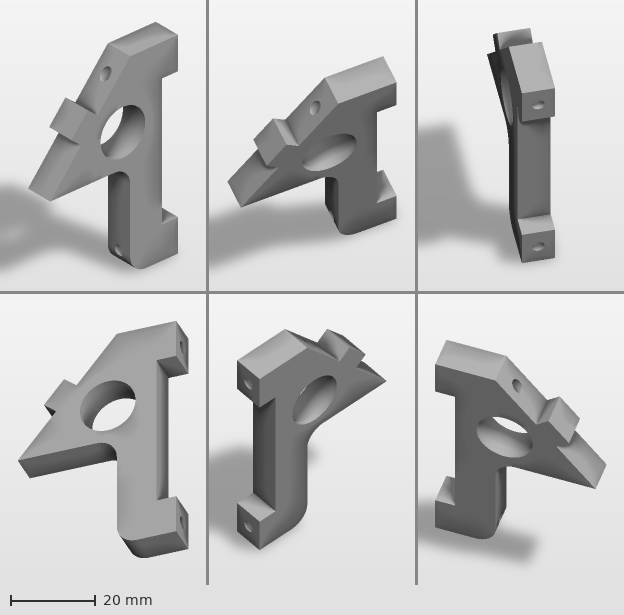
import cadquery as cq
import math

thickness = 8.0
depth = 40.0
height = 60.0

column_front = 15.0
nose_height = height / 2
foot_height = height / 6
recess_depth = column_front / 3
corner_radius = column_front / 3

tab_start = 15.9
tab_width = 8.0
tab_height = 4.0

bore_diameter = 14.0
bore_setback = 17.3
bore_height = 40.0
screw_diameter = 3.0
screw_edge_distance = foot_height / 2


def make_body():
    """Plate with two mounting feet, a column and a sloped nose."""
    return (
        cq.Workplane("YZ", origin=(-thickness / 2, 0, 0))
        .moveTo(0, 0)
        .lineTo(-column_front + corner_radius, 0)
        .radiusArc((-column_front, corner_radius), corner_radius)
        .lineTo(-column_front, nose_height - corner_radius)
        .radiusArc((-column_front - corner_radius, nose_height), -corner_radius)
        .lineTo(-depth, nose_height)
        .lineTo(-column_front, height)
        .lineTo(0, height)
        .lineTo(0, height - foot_height)
        .lineTo(-recess_depth, height - foot_height)
        .lineTo(-recess_depth, foot_height)
        .lineTo(0, foot_height)
        .close()
        .extrude(thickness)
    )


def make_tab():
    """Block standing square to the slope, sunk into the body by its own height."""
    slope_angle = math.atan2(height - nose_height, depth - column_front)
    tab_middle = tab_start + tab_width / 2
    tab_y = -column_front - tab_middle * math.cos(slope_angle)
    tab_z = height - tab_middle * math.sin(slope_angle)
    return (
        cq.Workplane("XY")
        .box(thickness, tab_width, 2 * tab_height)
        .rotate((0, 0, 0), (1, 0, 0), math.degrees(slope_angle))
        .translate((0, tab_y, tab_z))
    )


def make_bore():
    """Large hole across the thickness."""
    return (
        cq.Workplane("YZ", origin=(-thickness / 2, 0, 0))
        .center(-bore_setback, bore_height)
        .circle(bore_diameter / 2)
        .extrude(thickness)
    )


def make_screw_hole(hole_height):
    """Screw hole running front to back through one foot."""
    return (
        cq.Workplane("XZ")
        .center(0, hole_height)
        .circle(screw_diameter / 2)
        .extrude(depth)
    )


result = make_body().union(make_tab()).cut(make_bore())
for hole_height in (screw_edge_distance, height - screw_edge_distance):
    result = result.cut(make_screw_hole(hole_height))